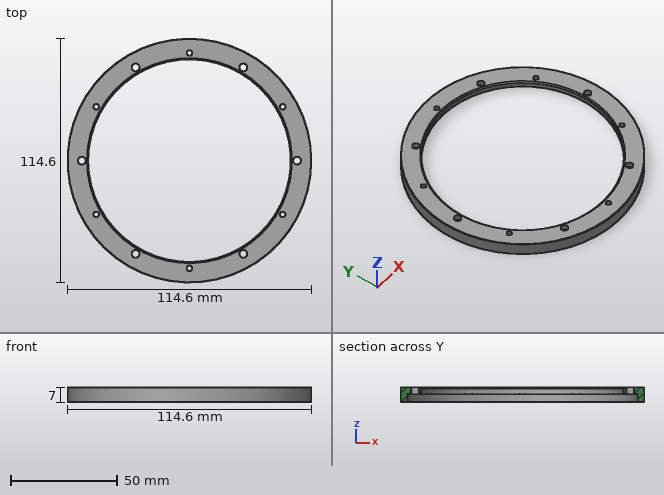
import cadquery as cq

outer_diameter = 114.6
bore_diameter = 95.0
height = 7.0
outer_chamfer = 0.2
bore_chamfer = 0.7

recess_diameter = 108.0
flange_thickness = 3.2
recess_depth = height - flange_thickness

bolt_circle_diameter = 101.1
holes_per_set = 6
large_hole_diameter = 3.5
small_hole_diameter = 2.5
large_hole_start_angle = 0
small_hole_start_angle = 180 / holes_per_set


def make_ring():
    """Flat ring with both outer edges and the top bore edge chamfered."""
    disc = cq.Workplane("XY").circle(outer_diameter / 2).extrude(height)
    disc = disc.faces("<Z or >Z").edges().chamfer(outer_chamfer)
    ring = disc.faces(">Z").workplane().hole(bore_diameter)
    return ring.faces(">Z").edges(cq.selectors.RadiusNthSelector(0)).chamfer(bore_chamfer)


def cut_recess(body):
    """Open the underside around the bore to form the inner flange."""
    recess = cq.Workplane("XY").circle(recess_diameter / 2).extrude(recess_depth)
    return body.cut(recess)


def drill_holes(body, diameter, start_angle):
    """Drill one evenly spaced set of through holes on the bolt circle."""
    return (
        body.faces(">Z")
        .workplane(origin=(0, 0, height))
        .polarArray(bolt_circle_diameter / 2, start_angle, 360, holes_per_set)
        .hole(diameter)
    )


result = cut_recess(make_ring())
result = drill_holes(result, large_hole_diameter, large_hole_start_angle)
result = drill_holes(result, small_hole_diameter, small_hole_start_angle)